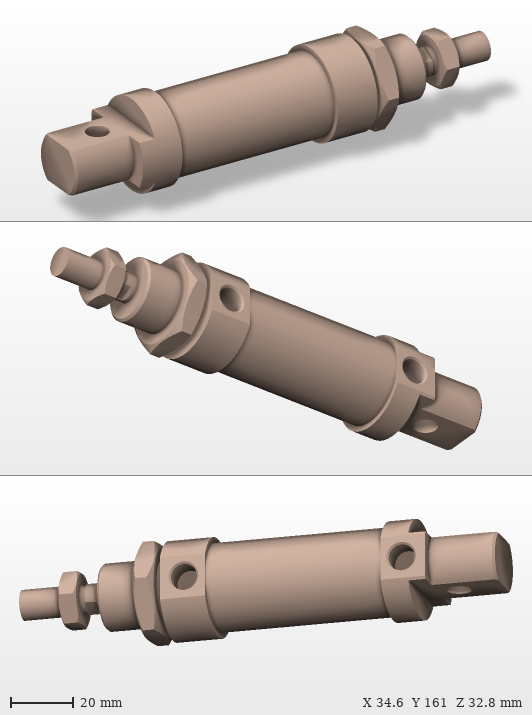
import cadquery as cq
import math

TOTAL_LENGTH = 161.0

REAR_CAP_START = 22.0
REAR_SLAB_FRONT = 27.9
TUBE_START = 37.0
TUBE_END = 95.8
FRONT_CAP_END = 111.0
NECK_END = 133.3

CAP_DIAMETER = 32.8
TUBE_DIAMETER = 29.0
NECK_DIAMETER = 22.0
NECK_CHAMFER = 0.8
PORT_FACE_X = -14.8
SLAB_THICKNESS = 16.1
EYE_HOLE_DIAMETER = 8.0
EYE_HOLE_Y = 15.0

PORT_DIAMETER = 8.7
PORT_MOUTH_DIAMETER = 10.0
PORT_DEPTH = 8.0
PORT_POSITIONS_Y = (30.1, 103.0)

ROD_DIAMETER = 10.0
GROOVE_DIAMETER = 8.9
GROOVE_START = 139.1
WRENCH_FLATS_WIDTH = 8.0
WRENCH_FLATS_START = 135.7

ROD_NUT_START = 140.9
ROD_NUT_THICKNESS = 6.0
ROD_NUT_FLATS = 17.0
ROD_NUT_BEVEL_DIAMETER = 17.0
ROD_NUT_TURN = 4.0
NECK_NUT_START = 113.2
NECK_NUT_THICKNESS = 7.0
NECK_NUT_FLATS = 30.0
NECK_NUT_BEVEL_DIAMETER = 29.0
NUT_BEVEL_ANGLE = 30.0


def turned(profile):
    """Revolve a closed (radius, Y) outline about the Y axis."""
    return cq.Workplane("XY").polyline(profile).close().revolve(360, (0, 0, 0), (0, 1, 0))


def y_cylinder(diameter, start, end):
    radius = diameter / 2
    return turned([(0, start), (radius, start), (radius, end), (0, end)])


def box_between(x_range, y_range, z_range):
    (x0, x1), (y0, y1), (z0, z1) = x_range, y_range, z_range
    return cq.Workplane("XY").box(x1 - x0, y1 - y0, z1 - z0, centered=False).translate((x0, y0, z0))


def make_port(port_y):
    """Blind port cutter along +X with a 45 degree mouth."""
    radius = PORT_DIAMETER / 2
    mouth_radius = PORT_MOUTH_DIAMETER / 2
    mouth_depth = mouth_radius - radius
    return (
        cq.Workplane("XY")
        .polyline([
            (0, 0),
            (0, mouth_radius),
            (mouth_depth, radius),
            (PORT_DEPTH, radius),
            (PORT_DEPTH, 0),
        ])
        .close()
        .revolve(360, (0, 0, 0), (1, 0, 0))
        .translate((PORT_FACE_X, port_y, 0))
    )


def make_housing():
    cap_radius = CAP_DIAMETER / 2
    tube_radius = TUBE_DIAMETER / 2
    neck_radius = NECK_DIAMETER / 2
    end_radius = neck_radius - NECK_CHAMFER
    body = turned([
        (0, 0),
        (end_radius, 0),
        (neck_radius, NECK_CHAMFER),
        (neck_radius, REAR_CAP_START),
        (cap_radius, REAR_CAP_START),
        (cap_radius, TUBE_START),
        (tube_radius, TUBE_START),
        (tube_radius, TUBE_END),
        (cap_radius, TUBE_END),
        (cap_radius, FRONT_CAP_END),
        (neck_radius, FRONT_CAP_END),
        (neck_radius, NECK_END - NECK_CHAMFER),
        (end_radius, NECK_END),
        (0, NECK_END),
    ])

    body = body.cut(box_between(
        (-CAP_DIAMETER, PORT_FACE_X), (0, NECK_END), (-CAP_DIAMETER, CAP_DIAMETER)
    ))

    half_slab = SLAB_THICKNESS / 2
    for z_range in ((half_slab, CAP_DIAMETER), (-CAP_DIAMETER, -half_slab)):
        body = body.cut(box_between((-CAP_DIAMETER, CAP_DIAMETER), (0, REAR_SLAB_FRONT), z_range))

    eye_hole = (
        cq.Workplane("XY")
        .center(0, EYE_HOLE_Y)
        .circle(EYE_HOLE_DIAMETER / 2)
        .extrude(SLAB_THICKNESS, both=True)
    )
    body = body.cut(eye_hole)

    for port_y in PORT_POSITIONS_Y:
        body = body.cut(make_port(port_y))
    return body


def make_rod():
    rod_radius = ROD_DIAMETER / 2
    groove_radius = GROOVE_DIAMETER / 2
    groove_middle = (GROOVE_START + ROD_NUT_START) / 2
    rod = (
        cq.Workplane("XY")
        .moveTo(0, NECK_END)
        .lineTo(rod_radius, NECK_END)
        .lineTo(rod_radius, GROOVE_START)
        .threePointArc((groove_radius, groove_middle), (rod_radius, ROD_NUT_START))
        .lineTo(rod_radius, TOTAL_LENGTH)
        .lineTo(0, TOTAL_LENGTH)
        .close()
        .revolve(360, (0, 0, 0), (0, 1, 0))
    )

    flat_x = WRENCH_FLATS_WIDTH / 2
    runout = rod_radius - flat_x
    flat_cutter = (
        cq.Workplane("XY")
        .polyline([
            (flat_x, GROOVE_START),
            (flat_x, WRENCH_FLATS_START),
            (rod_radius, WRENCH_FLATS_START - runout),
            (rod_radius, GROOVE_START),
        ])
        .close()
        .extrude(rod_radius, both=True)
    )
    corner_angle = 60 + ROD_NUT_TURN
    for angle in (corner_angle, corner_angle + 180):
        rod = rod.cut(flat_cutter.rotate((0, 0, 0), (0, 1, 0), -angle))
    return rod


def make_nut(start, thickness, flats, bore, bevel_diameter, turn):
    """Hexagon nut along Y with both faces bevelled; at zero turn a corner points to +X."""
    corner_radius = flats / 2 / math.cos(math.radians(30))
    bevel_radius = bevel_diameter / 2
    bevel_height = (corner_radius - bevel_radius) * math.tan(math.radians(NUT_BEVEL_ANGLE))
    end = start + thickness
    hexagon = (
        cq.Workplane("XZ", origin=(0, start, 0))
        .polygon(6, 2 * corner_radius)
        .extrude(-thickness)
        .rotate((0, 0, 0), (0, 1, 0), -turn)
    )
    envelope = turned([
        (0, start),
        (bevel_radius, start),
        (corner_radius, start + bevel_height),
        (corner_radius, end - bevel_height),
        (bevel_radius, end),
        (0, end),
    ])
    return hexagon.intersect(envelope).cut(y_cylinder(bore, start, end))


housing = make_housing()
rod = make_rod()
rod_nut = make_nut(
    ROD_NUT_START, ROD_NUT_THICKNESS, ROD_NUT_FLATS, ROD_DIAMETER, ROD_NUT_BEVEL_DIAMETER, ROD_NUT_TURN
)
neck_nut = make_nut(
    NECK_NUT_START, NECK_NUT_THICKNESS, NECK_NUT_FLATS, NECK_DIAMETER, NECK_NUT_BEVEL_DIAMETER, turn=0.0
)

result = cq.Compound.makeCompound([housing.val(), rod.val(), rod_nut.val(), neck_nut.val()])